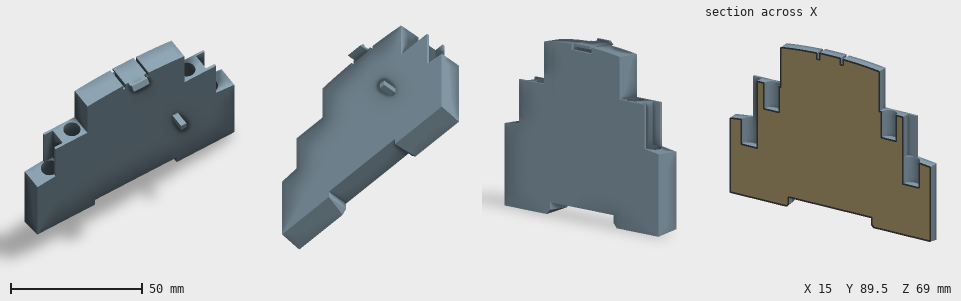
import cadquery as cq

body_width = 8.95
half_length = 44.75
end_height = 31.95
lower_shelf_height = 32.9
lower_shelf_inner_y = 36.5
upper_shelf_height = 50.0
crown_half_length = 22.0
crown_side_height = 66.6
crown_apex_height = 68.0

rail_recess_half_length = 18.5
rail_recess_height = 4.8
foot_chamfer = 1.9
base_rise = 1.9

terminal_x = 4.4
screw_hole_diameter = 6.5
screw_hole_y = 26.1
wire_hole_diameter = 7.0
wire_hole_y = 36.1
terminal_hole_depth = 10.7
pocket_width = 7.0
pocket_inner_y = 32.6

latch_slot_length = 11.6
latch_slot_floor = 65.5
latch_length = 9.5
latch_top = 68.2
latch_thickness = 1.1
latch_support_setback = 1.8
hook_length = 7.1
hook_top = 69.0
hook_start_x = 10.8
hook_crest_x = 11.6
hook_tip_x = 13.1

peg_side = 2.4
peg_end_x = 15.0
peg_y = 17.8
peg_z = 31.8

groove_width = 0.5
groove_y = 16.4
groove_bottom = 47.3
groove_top = 65.5
groove_depth = 0.1


def box(x_range, y_range, z_range):
    """Axis-aligned block given by its limits along X, Y and Z."""
    size = [high - low for low, high in (x_range, y_range, z_range)]
    corner = cq.Vector(x_range[0], y_range[0], z_range[0])
    return cq.Workplane(cq.Solid.makeBox(*size, corner))


def centred(length, centre=0.0):
    """Limits of a length centred on a position."""
    return centre - length / 2, centre + length / 2


def make_housing():
    """Stepped outline with a curved crown, extruded across the width."""
    right_side = [
        (rail_recess_half_length, rail_recess_height),
        (rail_recess_half_length, foot_chamfer),
        (rail_recess_half_length + foot_chamfer, 0),
        (half_length, 0),
        (half_length, end_height),
        (lower_shelf_inner_y, lower_shelf_height),
        (lower_shelf_inner_y, upper_shelf_height),
        (crown_half_length, upper_shelf_height),
        (crown_half_length, crown_side_height),
    ]
    left_side = [(-y, z) for y, z in reversed(right_side)]
    return (
        cq.Workplane("YZ")
        .polyline(right_side)
        .threePointArc((0, crown_apex_height), left_side[0])
        .polyline(left_side[1:], includeCurrent=True)
        .close()
        .extrude(body_width)
    )


def make_base_slant():
    """Wedge below the base, thickest at the +X face."""
    return (
        cq.Workplane("XZ")
        .polyline([(0, 0), (body_width, 0), (body_width, base_rise)])
        .close()
        .extrude(half_length, both=True)
    )


def make_terminal_hole(diameter, y, top):
    """Cylinder that cuts a vertical blind hole down from the given height."""
    return (
        cq.Workplane("XY", origin=(terminal_x, y, top - terminal_hole_depth))
        .circle(diameter / 2)
        .extrude(terminal_hole_depth)
    )


def make_terminal_cuts(side):
    """Screw hole, wire hole and open pocket at one end; side is +1 or -1 along Y."""
    screw_hole = make_terminal_hole(screw_hole_diameter, side * screw_hole_y, upper_shelf_height)
    wire_hole = make_terminal_hole(wire_hole_diameter, side * wire_hole_y, lower_shelf_height)
    pocket = box(
        centred(pocket_width, terminal_x),
        sorted((side * pocket_inner_y, side * half_length)),
        (lower_shelf_height, upper_shelf_height),
    )
    return screw_hole.union(wire_hole).union(pocket)


def make_latch_slot():
    return box((0, body_width), centred(latch_slot_length), (latch_slot_floor, crown_apex_height))


def make_latch():
    """Plate on a set-back support, ending in a narrower hook beyond the housing."""
    latch_bottom = latch_top - latch_thickness
    plate = box((0, body_width), centred(latch_length), (latch_bottom, latch_top))
    support = box(
        (latch_support_setback, body_width),
        centred(latch_length),
        (latch_slot_floor, latch_bottom),
    )
    hook = (
        cq.Workplane("XZ")
        .polyline([
            (body_width, latch_bottom),
            (hook_tip_x, latch_bottom),
            (hook_crest_x, hook_top),
            (hook_start_x, hook_top),
            (hook_start_x, latch_top),
            (body_width, latch_top),
        ])
        .close()
        .extrude(hook_length / 2, both=True)
    )
    return plate.union(support).union(hook)


def make_peg():
    return box((body_width, peg_end_x), centred(peg_side, peg_y), centred(peg_side, peg_z))


def make_groove():
    return box((0, groove_depth), centred(groove_width, groove_y), (groove_bottom, groove_top))


housing = make_housing().cut(make_base_slant())
for side in (1, -1):
    housing = housing.cut(make_terminal_cuts(side))
housing = housing.cut(make_latch_slot()).cut(make_groove())

result = housing.union(make_latch()).union(make_peg())